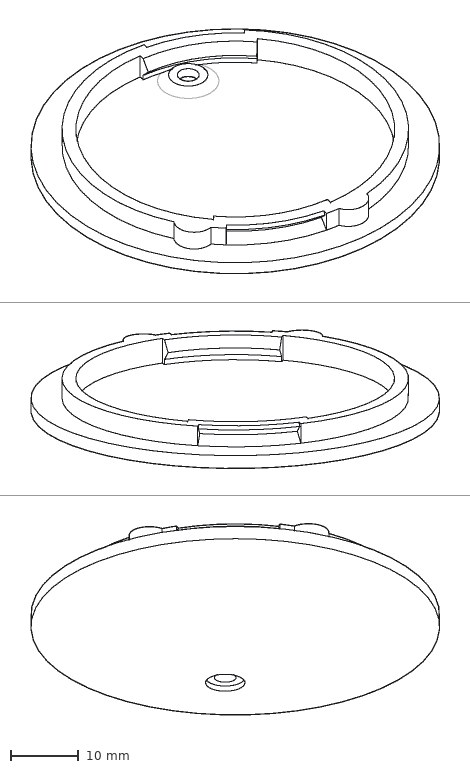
import cadquery as cq
import math

flange_radius = 30.2
flange_height = 2.0
ring_radius = 25.6
ring_bore_radius = 23.55
total_height = 5.0
floor_height = 1.2

snap_span = 33.4
snap_starts = (-snap_span, 180.0 - snap_span)
ramp_top_radius = 22.7
ramp_apex_radius = 21.25
apex_height = 3.45
ramp_overlap = 0.3
ramp_end_margin = 2.3
groove_end_margin = 0.3
groove_lip_depth = 0.4
groove_top_depth = 0.8
groove_depth = 1.45
groove_lip_height = 0.55

lug_radius = 3.0
lug_center_radius = 24.4
lug_offset_angle = 28.8

boss_x = -18.9
boss_y = 3.25
hole_diameter = 3.2
boss_top_radius = 2.9
boss_flare_width = 1.65
boss_height = 1.1
head_recess_depth = 0.85


def revolved(profile):
    """Revolve a closed (radius, height) profile around Z."""
    return cq.Workplane("XZ").polyline(profile).close().revolve(360, (0, 0, 0), (0, 1, 0))


def snap_sector(start_angle, margin):
    """Wedge covering one snap section, its straight sides moved outward by margin."""
    half_span = math.radians(snap_span / 2)
    tip_setback = -margin / math.sin(half_span)
    reach = 2 * flange_radius
    half_width = (reach - tip_setback) * math.tan(half_span)
    wedge = (
        cq.Workplane("XY")
        .polyline([(tip_setback, 0), (reach, -half_width), (reach, half_width)])
        .close()
        .extrude(total_height)
    )
    side = cq.Workplane("XY").box(reach, reach, total_height, centered=(False, True, False))
    wedge = wedge.intersect(side)
    return wedge.rotate((0, 0, 0), (0, 0, 1), start_angle + snap_span / 2)


def make_lug(angle):
    x = lug_center_radius * math.cos(math.radians(angle))
    y = lug_center_radius * math.sin(math.radians(angle))
    return cq.Workplane("XY").center(x, y).circle(lug_radius).extrude(total_height)


body = cq.Workplane("XY").circle(flange_radius).extrude(flange_height)
body = body.union(cq.Workplane("XY").circle(ring_radius).extrude(total_height))
for side in (-1, 1):
    body = body.union(make_lug(-snap_span / 2 + side * lug_offset_angle))
bore = cq.Workplane("XY").workplane(offset=floor_height).circle(ring_bore_radius).extrude(total_height)
body = body.cut(bore)

boss_base_radius = boss_top_radius + boss_flare_width
boss_top = floor_height + boss_height
flare_radius = (boss_flare_width**2 + boss_height**2) / (2 * boss_height)
half_flare_angle = math.atan2(boss_height, boss_flare_width)
flare_middle = (
    boss_base_radius - flare_radius * math.sin(half_flare_angle),
    floor_height + flare_radius * (1 - math.cos(half_flare_angle)),
)
boss = (
    cq.Workplane("XZ")
    .lineTo(boss_base_radius, 0)
    .lineTo(boss_base_radius, floor_height)
    .threePointArc(flare_middle, (boss_top_radius, boss_top))
    .lineTo(0, boss_top)
    .close()
    .revolve(360, (0, 0, 0), (0, 1, 0))
    .translate((boss_x, boss_y, 0))
)
ring_envelope = cq.Workplane("XY").circle(ring_bore_radius).extrude(total_height)
body = body.union(boss.intersect(ring_envelope))

ramp_ring = revolved([
    (ring_bore_radius + ramp_overlap, 0),
    (ramp_top_radius, 0),
    (ramp_top_radius, flange_height),
    (ramp_apex_radius, apex_height),
    (ramp_top_radius, total_height),
    (ring_bore_radius + ramp_overlap, total_height),
])
groove_ring = revolved([
    (flange_radius, flange_height),
    (ring_radius, flange_height),
    (ring_radius - groove_depth, apex_height),
    (ring_radius - groove_lip_depth, total_height - groove_lip_height),
    (ring_radius - groove_top_depth, total_height),
    (flange_radius, total_height),
])
for start in snap_starts:
    body = body.union(ramp_ring.intersect(snap_sector(start, ramp_end_margin)))
    body = body.cut(groove_ring.intersect(snap_sector(start, groove_end_margin)))

hole = cq.Workplane("XY").center(boss_x, boss_y).circle(hole_diameter / 2).extrude(boss_top)
head_recess = cq.Workplane("XY").center(boss_x, boss_y).circle(boss_top_radius).extrude(head_recess_depth)
result = body.cut(hole).cut(head_recess)